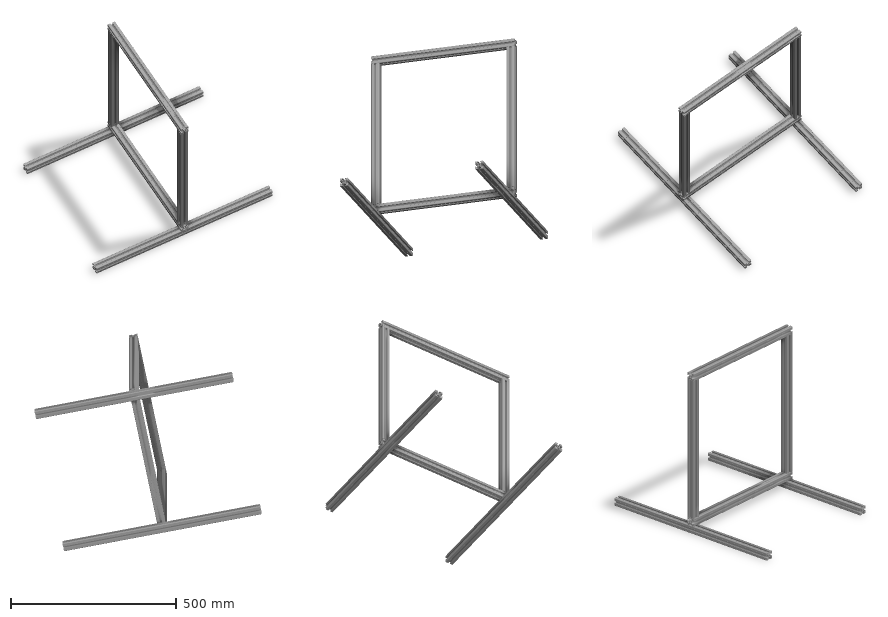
import cadquery as cq
import math

floor_rail_length = 609.5
cross_rail_length = 458.0
frame_height = 534.0
post_length = cross_rail_length

stacked_bars = 3
bar_width = (frame_height - post_length) / stacked_bars

bar_sides = 4
corner_radius = 2.0
bore_diameter = 5.2
core_width = 9.0
slot_opening = 7.0
slot_cavity_width = 13.0
slot_fillet_radius = 2.5
lip_thickness = 2.2
web_thickness = 2.2
groove_width = 4.15
groove_depth = 0.25
groove_offset = 8.0

half_bar = bar_width / 2
lip_bottom = half_bar - lip_thickness
core_top = core_width / 2
opening_half = slot_opening / 2
cavity_half = slot_cavity_width / 2

flank_rise = web_thickness / math.sqrt(2)
flank_top = cavity_half + flank_rise

floor_corner = core_top - flank_rise
fillet_setback = slot_fillet_radius * math.tan(math.radians(45 / 2))
floor_half = floor_corner - fillet_setback
flank_start_x = floor_corner + fillet_setback / math.sqrt(2)
flank_start_y = core_top + fillet_setback / math.sqrt(2)


def make_slot(length):
    """The T-slot cutter on the +Y side of a bar that stands along Z."""
    return (
        cq.Workplane("XY")
        .moveTo(-floor_half, core_top)
        .lineTo(floor_half, core_top)
        .tangentArcPoint((flank_start_x, flank_start_y), relative=False)
        .lineTo(cavity_half, flank_top)
        .lineTo(cavity_half, lip_bottom)
        .lineTo(opening_half, lip_bottom)
        .lineTo(opening_half, half_bar)
        .lineTo(-opening_half, half_bar)
        .lineTo(-opening_half, lip_bottom)
        .lineTo(-cavity_half, lip_bottom)
        .lineTo(-cavity_half, flank_top)
        .lineTo(-flank_start_x, flank_start_y)
        .tangentArcPoint((-floor_half, core_top), relative=False)
        .close()
        .extrude(length)
    )


def make_lip_grooves(length):
    """Cutters for the two shallow flat grooves in the lips on the +Y side."""
    return (
        cq.Workplane("XY")
        .pushPoints([(-groove_offset, half_bar), (groove_offset, half_bar)])
        .rect(groove_width, 2 * groove_depth)
        .extrude(length)
    )


def make_bar(length):
    """A T-slotted bar centred on the Z axis, standing on the XY plane."""
    bar = (
        cq.Workplane("XY")
        .rect(bar_width, bar_width)
        .extrude(length)
        .edges("|Z")
        .fillet(corner_radius)
    )
    bore = cq.Workplane("XY").circle(bore_diameter / 2).extrude(length)
    bar = bar.cut(bore)

    slot = make_slot(length)
    grooves = make_lip_grooves(length)
    for side in range(bar_sides):
        angle = side * 360 / bar_sides
        bar = bar.cut(slot.rotate((0, 0, 0), (0, 0, 1), angle))
        bar = bar.cut(grooves.rotate((0, 0, 0), (0, 0, 1), angle))
    return bar


def make_floor_rail(x):
    """A bar along Y, lying on the floor."""
    rail = make_bar(floor_rail_length).rotate((0, 0, 0), (1, 0, 0), 90)
    return rail.translate((x, floor_rail_length / 2, half_bar))


def make_cross_rail(z):
    """A bar along X that spans both floor rails at their middle."""
    rail = make_bar(cross_rail_length).rotate((0, 0, 0), (0, 1, 0), 90)
    return rail.translate((-cross_rail_length / 2, 0, z))


def make_post(x):
    """An upright bar between the lower and the upper cross rail."""
    return make_bar(post_length).translate((x, 0, 2 * bar_width))


side_offset = cross_rail_length / 2 - half_bar
side_positions = [-side_offset, side_offset]
cross_rail_heights = [bar_width + half_bar, frame_height - half_bar]

floor_rails = [make_floor_rail(x) for x in side_positions]
cross_rails = [make_cross_rail(z) for z in cross_rail_heights]
posts = [make_post(x) for x in side_positions]

bodies = floor_rails + cross_rails + posts
result = cq.Compound.makeCompound([body.solids().val() for body in bodies])